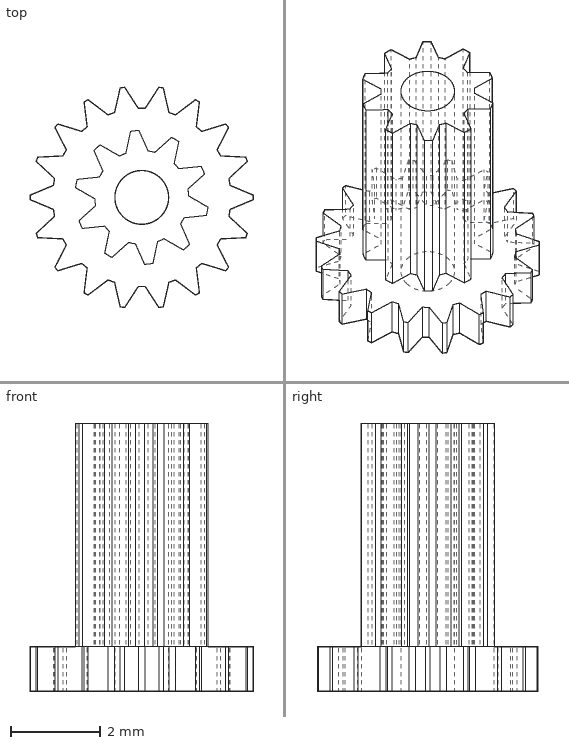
import cadquery as cq
import math

total_height = 6.0
wheel_thickness = 1.0
bore_diameter = 1.2

wheel_teeth = 18
wheel_tip_diameter = 5.0
wheel_root_radius = 2.0
wheel_tip_half_angle = 1.2
wheel_root_half_angle = 2.2
wheel_first_tooth_angle = 0.0

pinion_teeth = 10
pinion_tip_radius = 1.5
pinion_root_radius = 1.05
pinion_tip_half_angle = 3.6
pinion_root_half_angle = 4.2
pinion_first_tooth_angle = 96.0


def polar(radius, angle):
    """Point at the given radius and angle in degrees."""
    return (radius * math.cos(math.radians(angle)), radius * math.sin(math.radians(angle)))


def toothed_body(teeth, tip_radius, root_radius, tip_half_angle, root_half_angle, first_angle, height):
    """Straight-flanked gear on the XY plane, with tip and root lands on concentric circles."""
    pitch_angle = 360.0 / teeth
    outline = cq.Workplane("XY").moveTo(*polar(tip_radius, first_angle - tip_half_angle))
    for index in range(teeth):
        tooth = first_angle + index * pitch_angle
        gap = tooth + pitch_angle / 2
        next_tooth = tooth + pitch_angle
        outline = outline.threePointArc(
            polar(tip_radius, tooth),
            polar(tip_radius, tooth + tip_half_angle),
        )
        outline = outline.lineTo(*polar(root_radius, gap - root_half_angle))
        outline = outline.threePointArc(
            polar(root_radius, gap),
            polar(root_radius, gap + root_half_angle),
        )
        if index < teeth - 1:
            outline = outline.lineTo(*polar(tip_radius, next_tooth - tip_half_angle))
    return outline.close().extrude(height)


wheel = toothed_body(
    wheel_teeth,
    wheel_tip_diameter / 2,
    wheel_root_radius,
    wheel_tip_half_angle,
    wheel_root_half_angle,
    wheel_first_tooth_angle,
    wheel_thickness,
)

pinion = toothed_body(
    pinion_teeth,
    pinion_tip_radius,
    pinion_root_radius,
    pinion_tip_half_angle,
    pinion_root_half_angle,
    pinion_first_tooth_angle,
    total_height,
)

bore = cq.Workplane("XY").circle(bore_diameter / 2).extrude(total_height)

result = wheel.union(pinion).cut(bore)